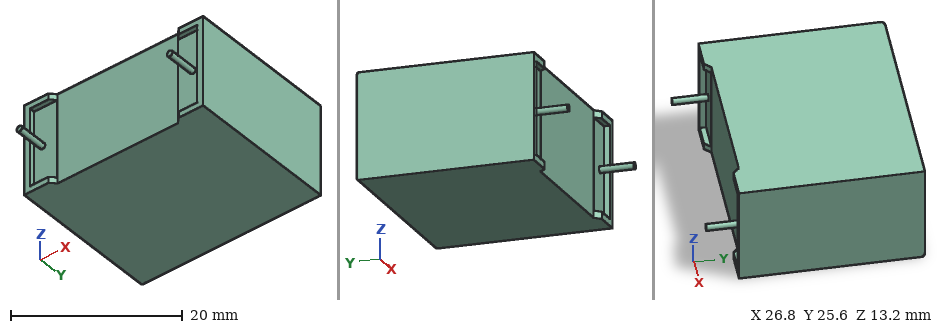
import cadquery as cq

WIDTH = 26.8
THICKNESS = 13.2
TOTAL_DEPTH = 25.6
PIN_PROJECTION = 3.5
BACK_FILLET = 0.5

FOOT_HEIGHT = 0.75
CHANNEL_WIDTH = 18.0

RIM = 0.88
RECESS_LENGTH = 3.45
RECESS_DEPTH = FOOT_HEIGHT

PIN_DIAMETER = 0.83
PIN_SPACING = 22.5

FRONT_Y = PIN_PROJECTION - TOTAL_DEPTH / 2
BACK_Y = TOTAL_DEPTH / 2
PIN_TIP_Y = -TOTAL_DEPTH / 2
RECESS_FLOOR_Y = FRONT_Y + RECESS_DEPTH
RECESS_X = WIDTH / 2 - RIM - RECESS_LENGTH / 2


def make_block():
    """Rectangular block with a rounded rim around its back face."""
    block = cq.Workplane("XY").box(WIDTH, BACK_Y - FRONT_Y, THICKNESS)
    block = block.faces(">Y").edges().fillet(BACK_FILLET)
    return block.translate((0, (FRONT_Y + BACK_Y) / 2, 0))


def make_channel():
    """Cutter for the relief channel, with sides sloping outward at 45 degrees."""
    half_floor = CHANNEL_WIDTH / 2
    half_mouth = half_floor + FOOT_HEIGHT
    floor_y = FRONT_Y + FOOT_HEIGHT
    return (
        cq.Workplane("XY")
        .polyline([
            (-half_mouth, FRONT_Y),
            (-half_floor, floor_y),
            (half_floor, floor_y),
            (half_mouth, FRONT_Y),
        ])
        .close()
        .extrude(THICKNESS / 2, both=True)
    )


def make_recess(side):
    """Cutter for the rectangular recess in the foot on the given X side (-1 or 1)."""
    recess = cq.Workplane("XY").box(RECESS_LENGTH, RECESS_DEPTH, THICKNESS - 2 * RIM)
    return recess.translate((side * RECESS_X, FRONT_Y + RECESS_DEPTH / 2, 0))


def make_case():
    """Case block with the channel and a recess in each foot."""
    case = make_block().cut(make_channel())
    for side in (-1, 1):
        case = case.cut(make_recess(side))
    return case


def make_pin(side):
    """Round lead pin standing on the recess floor on the given X side (-1 or 1)."""
    pin = cq.Workplane("XZ").circle(PIN_DIAMETER / 2).extrude(RECESS_FLOOR_Y - PIN_TIP_Y)
    return pin.translate((side * PIN_SPACING / 2, RECESS_FLOOR_Y, 0))


case = make_case()
pins = [make_pin(side) for side in (-1, 1)]

result = cq.Compound.makeCompound([case.val(), *(pin.val() for pin in pins)])